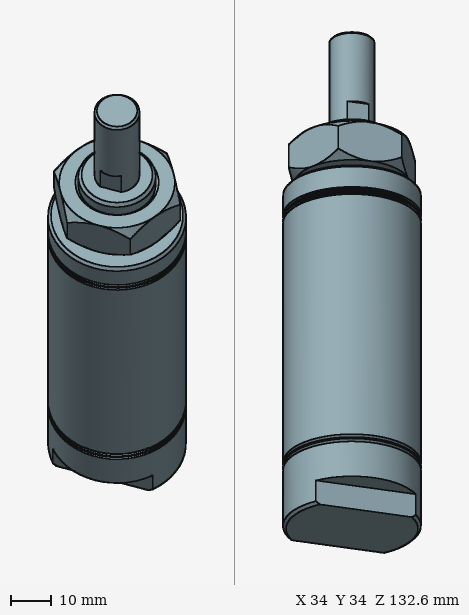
import cadquery as cq
import math

INCH = 25.4

overall_height = 5.22 * INCH
rod_length = 1.00 * INCH
neck_length = 0.63 * INCH
neck_top = overall_height - rod_length
shoulder_height = neck_top - neck_length
foot_height = 0.25 * INCH
nut_gap = 2.4

body_radius = 1.34 * INCH / 2
end_chamfer = 0.75
foot_width = 0.87 * INCH
neck_radius = 0.75 * INCH / 2
neck_chamfer = 0.8

lower_band_bottom = 15.8
upper_band_top = 84.95
groove_height = 0.8
groove_depth = groove_height
groove_land = 0.4
grooves_per_band = 2

nut_thickness = 0.415 * INCH
nut_across_flats = 1.12 * INCH
nut_countersink = 0.75

rod_radius = 0.4375 * INCH / 2
rod_chamfer = 0.6
rod_flat_width = 0.38 * INCH
rod_flat_height = 0.25 * INCH


def cut_flats(solid, width, radius, bottom, height):
    """Cut a pair of flats facing -Y and +Y, the given width apart, into a round solid."""
    for side in (-1, 1):
        cutter = (
            cq.Workplane("XY", origin=(0, side * (width / 2 + radius), bottom))
            .rect(2 * radius, 2 * radius)
            .extrude(height)
        )
        solid = solid.cut(cutter)
    return solid


def sawtooth_ring(square_end, tapered_end):
    """Ring cutter with a flat wall at one height, running out conically at the other."""
    root_radius = body_radius - groove_depth
    profile = [(root_radius, square_end), (body_radius, square_end), (body_radius, tapered_end)]
    return cq.Workplane("XZ").polyline(profile).close().revolve(360, (0, 0), (0, 1))


def crimp_band(body, outer_end, direction):
    """Cut the sawtooth grooves, stepping from the cap end of the band towards the tube."""
    for index in range(grooves_per_band):
        start = outer_end + direction * index * (groove_height + groove_land)
        body = body.cut(sawtooth_ring(start, start + direction * groove_height))
    return body


def make_body():
    """Crimped tube and end caps as one piece, with the neck on top and wrench flats at the foot."""
    body = (
        cq.Workplane("XY")
        .circle(body_radius)
        .extrude(shoulder_height)
        .faces("<Z")
        .chamfer(end_chamfer)
        .faces(">Z")
        .chamfer(end_chamfer)
    )
    neck = (
        cq.Workplane("XY", origin=(0, 0, shoulder_height))
        .circle(neck_radius)
        .extrude(neck_length)
        .faces(">Z")
        .chamfer(neck_chamfer)
    )
    body = body.union(neck)
    body = cut_flats(body, foot_width, body_radius, 0, foot_height)
    body = crimp_band(body, upper_band_top, -1)
    return crimp_band(body, lower_band_bottom, 1)


def make_nut():
    """Hexagon nut on the neck, with both ends of its bore countersunk."""
    corner_radius = nut_across_flats / math.sqrt(3)
    face_radius = nut_across_flats / 2
    corner_drop = corner_radius - face_radius
    hexagon = cq.Workplane("XY").polygon(6, 2 * corner_radius).extrude(nut_thickness)
    envelope = (
        cq.Workplane("XZ")
        .polyline([
            (0, 0),
            (face_radius, 0),
            (corner_radius, corner_drop),
            (corner_radius, nut_thickness - corner_drop),
            (face_radius, nut_thickness),
            (0, nut_thickness),
        ])
        .close()
        .revolve(360, (0, 0), (0, 1))
    )
    nut = hexagon.intersect(envelope)
    nut = nut.faces(">Z").workplane().hole(2 * neck_radius)
    nut = nut.edges(cq.selectors.RadiusNthSelector(0)).chamfer(nut_countersink)
    return nut.translate((0, 0, shoulder_height + nut_gap))


def make_rod():
    """Piston rod standing on the end face of the neck."""
    rod = (
        cq.Workplane("XY", origin=(0, 0, neck_top))
        .circle(rod_radius)
        .extrude(rod_length)
        .faces(">Z")
        .chamfer(rod_chamfer)
    )
    return cut_flats(rod, rod_flat_width, rod_radius, neck_top, rod_flat_height)


body = make_body()
nut = make_nut()
rod = make_rod()
result = cq.Compound.makeCompound([*body.solids().vals(), *nut.solids().vals(), *rod.solids().vals()])